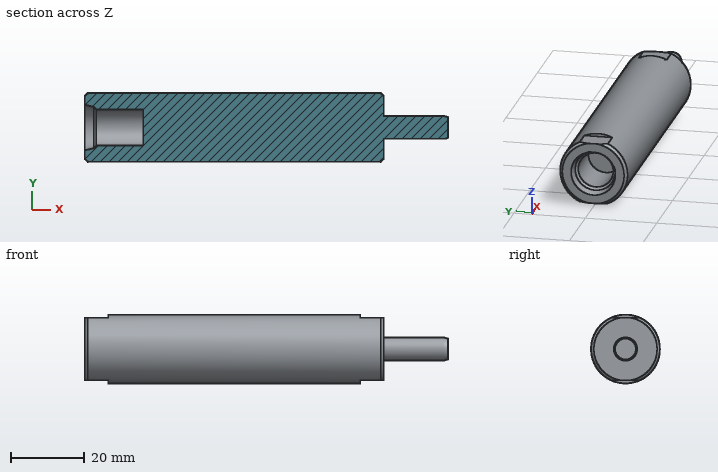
import cadquery as cq

overall_length = 99.42
body_diameter = 18.9
body_length = 81.8
body_chamfer = 0.8

pin_diameter = 6.4
pin_tip_diameter = 5.7
pin_tip_length = 1.2

flat_spacing = 17.2
flat_length = 6.4

mouth_diameter = 12.4
mouth_inner_diameter = 11.2
mouth_length = 2.5
bore_diameter = 9.8
bore_depth = 16.0

body_start = -overall_length / 2
body_end = body_start + body_length
pin_end = overall_length / 2


def cylinder(diameter, start, end):
    """Cylinder along X between two X positions."""
    return cq.Workplane("YZ", origin=(start, 0, 0)).circle(diameter / 2).extrude(end - start)


def cone(start_diameter, end_diameter, start, end):
    """Truncated cone along X between two X positions."""
    outline = [
        (start, 0),
        (start, start_diameter / 2),
        (end, end_diameter / 2),
        (end, 0),
    ]
    return cq.Workplane("XY").polyline(outline).close().revolve(360, (0, 0, 0), (1, 0, 0))


def make_body():
    """Round body with both rims chamfered."""
    return cylinder(body_diameter, body_start, body_end).faces("<X or >X").chamfer(body_chamfer)


def make_pin():
    """Slender end pin with a tapered tip."""
    tip_start = pin_end - pin_tip_length
    shank = cylinder(pin_diameter, body_end, tip_start)
    tip = cone(pin_diameter, pin_tip_diameter, tip_start, pin_end)
    return shank.union(tip)


def make_wrench_flat(start, side):
    """Material removed for one wrench flat above (side = 1) or below (side = -1) the axis."""
    flat_depth = (body_diameter - flat_spacing) / 2
    height = side * (flat_spacing + flat_depth) / 2
    return (
        cq.Workplane("XY")
        .box(flat_length, body_diameter, flat_depth, centered=(False, True, True))
        .translate((start, 0, height))
    )


def make_bore():
    """Blind bore: a slightly tapered mouth, a 45 degree step, then the straight bore."""
    mouth_end = body_start + mouth_length
    step_end = mouth_end + (mouth_inner_diameter - bore_diameter) / 2
    mouth = cone(mouth_diameter, mouth_inner_diameter, body_start, mouth_end)
    step = cone(mouth_inner_diameter, bore_diameter, mouth_end, step_end)
    bore = cylinder(bore_diameter, step_end, body_start + bore_depth)
    return mouth.union(step).union(bore)


result = make_body().union(make_pin()).cut(make_bore())
for flat_start in (body_start, body_end - flat_length):
    for flat_side in (1, -1):
        result = result.cut(make_wrench_flat(flat_start, flat_side))